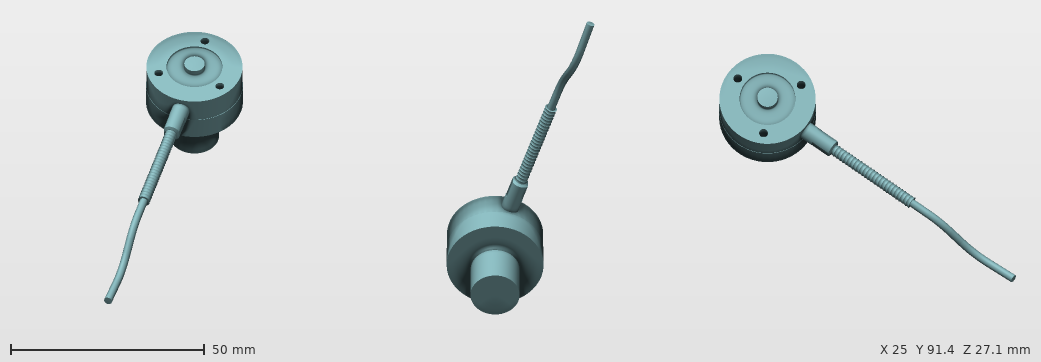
import cadquery as cq
import math

body_radius = 12.5
upper_body_radius = 24.85 / 2
body_bottom = 12.7
body_split = 19.0
body_top = 25.9
overall_height = 27.1

stud_radius = 12.7 / 2
neck_radius = 11.7 / 2
neck_fillet = 0.8
stud_shoulder = 10.8
neck_land = 0.3

recess_radius = 14.4 / 2
recess_depth = 0.55
recess_corner = 0.3
button_radius = 5.3 / 2
button_base_fillet = 0.3
button_dome_rise = 0.14

hole_count = 3
hole_diameter = 2.3
hole_circle_radius = 9.5
hole_depth = 5.5

cable_height = 22.1
gland_radius = 4.7 / 2
gland_length = 8.8
gland_chamfer_length = 0.4
gland_overlap = 1.8
flat_start = 3.2
flat_half_width = 2.0

sleeve_start = body_radius + 8.6
ring_count = 25
sleeve_length = 25.0
ring_pitch = sleeve_length / ring_count
ring_crest_radius = 3.2 / 2
ring_root_radius = 2.8 / 2

cable_radius = 2.1 / 2
overall_length = 91.4
cable_end = overall_length - body_radius
first_straight_end = body_radius + 38.9
bend_radius = 13.7
down_angle = 30.0
up_angle = 8.0
middle_straight = 4.2


def make_housing():
    """Stud, neck, body and top recess with its button, as one revolved profile."""
    neck_land_bottom = body_bottom - neck_fillet - neck_land
    floor = body_top - recess_depth
    dome_edge = overall_height - button_dome_rise
    dome_radius = (button_radius**2 + button_dome_rise**2) / (2 * button_dome_rise)
    dome_half_angle = math.asin(button_radius / dome_radius) / 2
    dome_mid = (
        dome_radius * math.sin(dome_half_angle),
        overall_height - dome_radius * (1 - math.cos(dome_half_angle)),
    )
    profile = (
        cq.Workplane("XZ")
        .lineTo(stud_radius, 0)
        .lineTo(stud_radius, stud_shoulder)
        .lineTo(neck_radius, neck_land_bottom)
        .lineTo(neck_radius, body_bottom - neck_fillet)
        .radiusArc((neck_radius + neck_fillet, body_bottom), neck_fillet)
        .lineTo(body_radius, body_bottom)
        .lineTo(body_radius, body_split)
        .lineTo(upper_body_radius, body_split)
        .lineTo(upper_body_radius, body_top)
        .lineTo(recess_radius, body_top)
        .lineTo(recess_radius, floor + recess_corner)
        .radiusArc((recess_radius - recess_corner, floor), recess_corner)
        .lineTo(button_radius + button_base_fillet, floor)
        .radiusArc((button_radius, floor + button_base_fillet), button_base_fillet)
        .lineTo(button_radius, dome_edge)
        .threePointArc(dome_mid, (0, overall_height))
        .close()
    )
    return profile.revolve(360, (0, 0, 0), (0, 1, 0))


def make_holes():
    """Blind holes, one at +Y and the others evenly spaced."""
    return (
        cq.Workplane("XY", origin=(0, 0, body_top - hole_depth))
        .polarArray(hole_circle_radius, 90, 360, hole_count)
        .circle(hole_diameter / 2)
        .extrude(hole_depth)
    )


def outlet_plane():
    """Local x runs outward along -Y from the body axis, local y is the height above the cable axis."""
    return cq.Workplane(cq.Plane(origin=(0, 0, cable_height), xDir=(0, -1, 0), normal=(-1, 0, 0)))


def make_gland():
    """Turned gland, its end chamfered down to the sleeve, with two wrench flats."""
    start = body_radius - gland_overlap
    end = body_radius + gland_length
    gland = (
        outlet_plane()
        .moveTo(start, 0)
        .lineTo(start, gland_radius)
        .lineTo(end - gland_chamfer_length, gland_radius)
        .lineTo(end, ring_crest_radius)
        .lineTo(end, 0)
        .close()
        .revolve(360, (0, 0, 0), (1, 0, 0))
    )
    flat_length = gland_length - flat_start
    for side in (-1, 1):
        cutter = cq.Workplane("XY").box(gland_radius, flat_length, 2 * gland_radius).translate(
            (side * (flat_half_width + gland_radius / 2), flat_length / 2 - end, cable_height)
        )
        gland = gland.cut(cutter)
    return gland


def make_bend_protector():
    """Sleeve whose outline is a row of shallow concave scallops."""
    profile = outlet_plane().moveTo(sleeve_start, 0).lineTo(sleeve_start, ring_crest_radius)
    for ring in range(ring_count):
        ring_start = sleeve_start + ring * ring_pitch
        profile = profile.threePointArc(
            (ring_start + ring_pitch / 2, ring_root_radius),
            (ring_start + ring_pitch, ring_crest_radius),
        )
    end = sleeve_start + sleeve_length
    return profile.lineTo(end, 0).close().revolve(360, (0, 0, 0), (1, 0, 0))


def make_cable():
    """Round cable swept along straights joined by two tangent bends."""
    down = math.radians(down_angle)
    up = math.radians(up_angle)

    def first_bend(angle):
        return (
            first_straight_end + bend_radius * math.sin(angle),
            -bend_radius * (1 - math.cos(angle)),
        )

    bend_1_end = first_bend(down)
    bend_2_start = (
        bend_1_end[0] + middle_straight * math.cos(down),
        bend_1_end[1] - middle_straight * math.sin(down),
    )
    bend_2_center = (
        bend_2_start[0] + bend_radius * math.sin(down),
        bend_2_start[1] + bend_radius * math.cos(down),
    )

    def second_bend(angle):
        return (
            bend_2_center[0] + bend_radius * math.sin(angle),
            bend_2_center[1] - bend_radius * math.cos(angle),
        )

    bend_2_end = second_bend(up)
    tip = cable_end - cable_radius * math.sin(up)
    tip_height = bend_2_end[1] + (tip - bend_2_end[0]) * math.tan(up)
    path = (
        outlet_plane()
        .moveTo(sleeve_start, 0)
        .lineTo(first_straight_end, 0)
        .threePointArc(first_bend(down / 2), bend_1_end)
        .lineTo(*bend_2_start)
        .threePointArc(second_bend((up - down) / 2), bend_2_end)
        .lineTo(tip, tip_height)
    )
    section = cq.Workplane("XZ", origin=(0, -sleeve_start, cable_height)).circle(cable_radius)
    return section.sweep(path)


result = (
    make_housing()
    .cut(make_holes())
    .union(make_gland())
    .union(make_bend_protector())
    .union(make_cable())
)